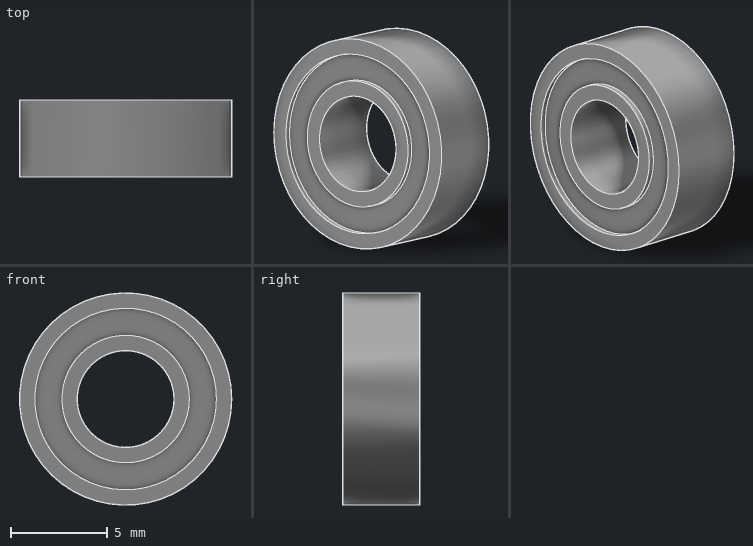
import cadquery as cq

outer_diameter = 11.0
bore_diameter = 5.0
width = 4.0
ring_thickness = 0.8
recess_depth = 0.3

inner_ring_diameter = bore_diameter + 2 * ring_thickness
outer_ring_inner_diameter = outer_diameter - 2 * ring_thickness


def tube(outer, inner, length):
    """Hollow cylinder along Y, centred on the origin."""
    start_face = cq.Workplane("XZ", origin=(0, length / 2, 0))
    return start_face.circle(outer / 2).circle(inner / 2).extrude(length)


outer_ring = tube(outer_diameter, outer_ring_inner_diameter, width)
inner_ring = tube(inner_ring_diameter, bore_diameter, width)

shield_width = width - 2 * recess_depth
shield = tube(outer_ring_inner_diameter, inner_ring_diameter, shield_width)

result = outer_ring.union(shield).union(inner_ring)